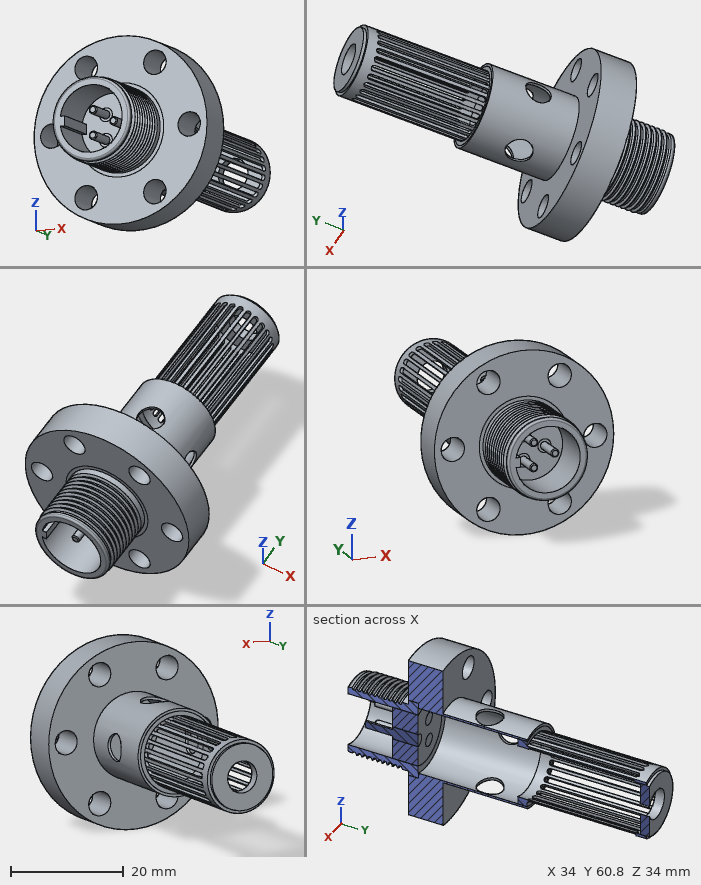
import cadquery as cq
import math


flange_radius = 17.0
flange_front = 12.2
flange_thickness = 7.0
flange_back = flange_front + flange_thickness
sleeve_radius = 8.0
sleeve_length = 17.0
sleeve_end = flange_back + sleeve_length
bolt_count = 6
bolt_circle_radius = 13.5
bolt_hole_radius = 2.2
cross_hole_radius = 2.5
cross_hole_offset = 8.0

cage_radius = 6.7
cage_bore_radius = 6.1
cage_exposed_length = 24.0
cage_seat_depth = 2.0
cage_foot_radius = 7.5
cage_start = sleeve_end - cage_seat_depth
cage_end = sleeve_end + cage_exposed_length
slot_count = 25
slot_width = 1.0
slot_phase = 0.9
cage_rim = 2.0
slot_start = sleeve_end
slot_end = cage_end - cage_rim

ring_hole_radius = 2.9
ring_thickness = 1.9
ring_protrusion = 0.6

shoulder_radius = 8.5
shoulder_thickness = 2.0
shoulder_back = flange_front + shoulder_thickness
shell_radius = 7.8
shell_bore_radius = 6.1
thread_start = 0.85
thread_end = 11.1
groove_count = 10
thread_pitch = (thread_end - thread_start) / groove_count
thread_root_radius = 7.3
crest_width = 0.1
flank_width = 0.28
tip_radius = 7.6
tip_fillet = 0.4
key_width = 1.8
key_reach = 5.2

insert_face = 9.0
pin_count = 3
pin_circle_radius = 2.67
pin_radius = 0.75
pin_tip = 3.5
pin_chamfer = 0.2
collar_radius = 1.25


def cylinder(radius, start, end, x=0.0, z=0.0):
    """Cylinder along Y from start to end, centred on (x, z)."""
    plane = cq.Plane(origin=(x, start, z), xDir=(1, 0, 0), normal=(0, 1, 0))
    return cq.Workplane(plane).circle(radius).extrude(end - start)


def circle_places(count, radius):
    """Points (x, z) evenly spaced on a circle, the first one on +X."""
    angles = [2 * math.pi * i / count for i in range(count)]
    return [(radius * math.cos(angle), radius * math.sin(angle)) for angle in angles]


def make_housing():
    """Flange and sleeve with a through bore, bolt holes and two crossing side holes."""
    body = cylinder(flange_radius, flange_front, flange_back)
    body = body.union(cylinder(sleeve_radius, flange_back, sleeve_end))
    body = body.cut(cylinder(cage_foot_radius, flange_front, sleeve_end))
    body = body.cut(cylinder(shoulder_radius, flange_front, shoulder_back))
    for x, z in circle_places(bolt_count, bolt_circle_radius):
        body = body.cut(cylinder(bolt_hole_radius, flange_front, flange_back, x, z))
    cross_hole_y = flange_back + cross_hole_offset
    for plane_name in ("XY", "YZ"):
        plane = cq.Workplane(plane_name, origin=(0, cross_hole_y, 0))
        body = body.cut(plane.circle(cross_hole_radius).extrude(sleeve_radius, both=True))
    return body


def make_cage():
    """Tube with lengthwise round-ended slots between the sleeve and the rim."""
    body = cylinder(cage_foot_radius, cage_start, sleeve_end)
    body = body.union(cylinder(cage_radius, sleeve_end, cage_end))
    body = body.cut(cylinder(cage_bore_radius, cage_start, cage_end))
    slot = (
        cq.Workplane("XY", origin=(0, (slot_start + slot_end) / 2, 0))
        .slot2D(slot_end - slot_start, slot_width, 90)
        .extrude(sleeve_radius)
    )
    for i in range(slot_count):
        body = body.cut(slot.rotate((0, 0, 0), (0, 1, 0), slot_phase + 360 * i / slot_count))
    return body


def make_end_ring():
    """Ring that fills the cage mouth and stands slightly proud of it."""
    ring_end = cage_end + ring_protrusion
    ring_start = ring_end - ring_thickness
    return cylinder(cage_bore_radius, ring_start, ring_end).cut(
        cylinder(ring_hole_radius, ring_start, ring_end)
    )


def make_shell():
    """Connector shell: rounded tip, ring-grooved thread and a shoulder sunk in the flange."""
    profile = (
        cq.Workplane("XY")
        .moveTo(shell_bore_radius, 0)
        .lineTo(tip_radius - tip_fillet, 0)
        .radiusArc((tip_radius, tip_fillet), -tip_fillet)
        .lineTo(tip_radius, thread_start)
    )
    for i in range(groove_count):
        groove_start = thread_start + i * thread_pitch
        groove_end = groove_start + thread_pitch - crest_width
        profile = (
            profile.lineTo(thread_root_radius, groove_start + flank_width)
            .lineTo(thread_root_radius, groove_end - flank_width)
            .lineTo(shell_radius, groove_end)
            .lineTo(shell_radius, groove_end + crest_width)
        )
    profile = (
        profile.lineTo(shell_radius, flange_front)
        .lineTo(shoulder_radius, flange_front)
        .lineTo(shoulder_radius, shoulder_back)
        .lineTo(shell_bore_radius, shoulder_back)
        .close()
    )
    body = profile.revolve(360, (0, 0, 0), (0, 1, 0))
    return body.union(make_key())


def make_key():
    """Polarising key on the -X side of the shell bore."""
    key_root = (shell_bore_radius + thread_root_radius) / 2
    return (
        cq.Workplane("XY")
        .box(key_root - key_reach, insert_face, key_width, centered=(False, False, True))
        .translate((-key_root, 0, 0))
    )


def make_insert():
    """Disc in the shell bore with one hole for each pin collar."""
    body = cylinder(shell_bore_radius, insert_face, shoulder_back)
    for x, z in circle_places(pin_count, pin_circle_radius):
        body = body.cut(cylinder(collar_radius, insert_face, shoulder_back, x, z))
    return body


def make_pin(x, z):
    """Contact with a chamfered tip on a collar that is flush with the insert."""
    contact = cylinder(pin_radius, pin_tip, insert_face, x, z).faces("<Y").chamfer(pin_chamfer)
    return contact.union(cylinder(collar_radius, insert_face, shoulder_back, x, z))


housing = make_housing()
cage = make_cage()
end_ring = make_end_ring()
shell = make_shell()
insert = make_insert()
pins = [make_pin(x, z) for x, z in circle_places(pin_count, pin_circle_radius)]

result = cq.Compound.makeCompound(
    [
        housing.val(),
        cage.val(),
        end_ring.val(),
        shell.val(),
        insert.val(),
        *[pin.val() for pin in pins],
    ]
)